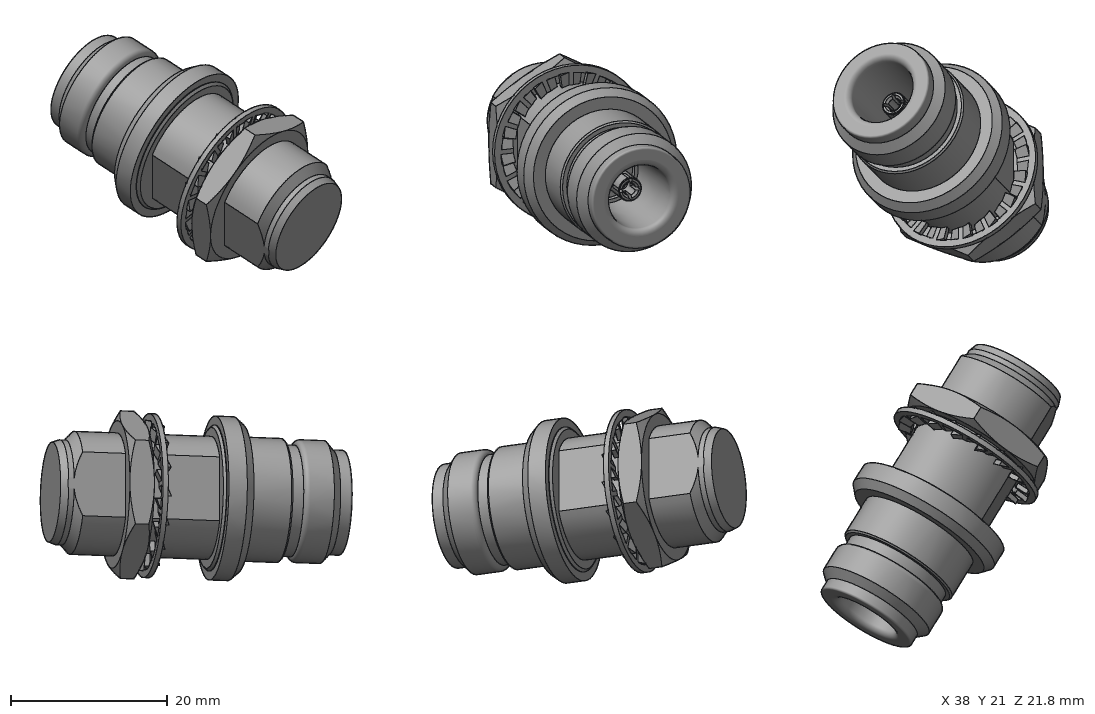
import cadquery as cq
import math

total_length = 38.05

nose_radius = 6.75
nose_edge_round = 0.25
nose_end = 1.55
head_radius = 7.88
head_start = 2.63
head_round = 0.72
groove_radius = head_radius - head_round
groove_start = 6.45
groove_end = 8.0
barrel_radius = 7.95
barrel_chamfer = 0.23

flange_start = 13.47
flange_bevel_radius = 9.6
flange_bevel_end = 14.55
flange_radius = 10.5
flange_end = 16.95
collar_radius = 9.35
collar_chamfer = 0.35
collar_end = 17.35

stem_radius = 7.88
stem_end = 35.25
tail_radius = 6.75
tail_start = 36.35
tail_bevel_start = 37.05
tail_end_radius = 6.4
stem_flat_distance = 6.7

nut_start = 26.45
nut_end = 29.65
nut_across_flats = 18.87
nut_bevel_length = 0.72

bore_radius = 4.25
bore_lip_round = 0.85
bore_depth = 11.4
bore_end_radius = 3.95
floor_radius = 3.5
floor_depth = 12.18

contact_radius = 1.55
contact_tip = 3.95
contact_chamfer = 0.1
contact_hole_radius = 0.85
contact_hole_depth = 3.05
contact_cone_depth = 0.5
contact_mouth_radius = 1.15
contact_slot_width = 0.4
contact_slot_reach = 1.5
contact_slot_depth = 2.3

washer_start = 24.85
washer_thickness = 0.7
washer_radius = 10.5
washer_ring_inner_radius = 9.5
tooth_count = 16
tooth_inner_radius = 7.9
tooth_outer_radius = 9.63
tooth_half_angle = 10.1
tooth_flat_half_width = 0.3
tooth_wing_lean = 0.44


def disc(radius, start, end):
    """Cylinder on the X axis between two positions."""
    return cq.Workplane("YZ", origin=(start, 0, 0)).circle(radius).extrude(end - start)


def make_shell():
    """Turned outside of the connector, with two flats on the stem."""
    nose_edge_mid = nose_edge_round * (1 - math.sqrt(0.5))
    round_mid = head_round * math.sqrt(0.5)
    shell = (
        cq.Workplane("XY")
        .moveTo(0, 0)
        .lineTo(0, nose_radius - nose_edge_round)
        .threePointArc((nose_edge_mid, nose_radius - nose_edge_mid), (nose_edge_round, nose_radius))
        .lineTo(nose_end, nose_radius)
        .lineTo(head_start, head_radius)
        .lineTo(groove_start - head_round, head_radius)
        .threePointArc(
            (groove_start - head_round + round_mid, groove_radius + round_mid),
            (groove_start, groove_radius),
        )
        .lineTo(groove_end, groove_radius)
        .lineTo(groove_end, barrel_radius - barrel_chamfer)
        .lineTo(groove_end + barrel_chamfer, barrel_radius)
        .lineTo(flange_start, barrel_radius)
        .lineTo(flange_start, flange_bevel_radius)
        .lineTo(flange_bevel_end, flange_radius)
        .lineTo(flange_end, flange_radius)
        .lineTo(flange_end, collar_radius)
        .lineTo(collar_end - collar_chamfer, collar_radius)
        .lineTo(collar_end, collar_radius - collar_chamfer)
        .lineTo(collar_end, stem_radius)
        .lineTo(stem_end, stem_radius)
        .lineTo(tail_start, tail_radius)
        .lineTo(tail_bevel_start, tail_radius)
        .lineTo(total_length, tail_end_radius)
        .lineTo(total_length, 0)
        .close()
        .revolve(360, (0, 0, 0), (1, 0, 0))
    )
    flat_length = total_length - collar_end
    waste = cq.Workplane("XY").box(
        flat_length, stem_radius, 2 * stem_radius, centered=(False, True, True)
    )
    for side in (1, -1):
        waste_y = side * (stem_flat_distance + stem_radius / 2)
        shell = shell.cut(waste.translate((collar_end, waste_y, 0)))
    return shell


def make_nut():
    """Hexagon with corners at +Z and -Z, both ends turned down to the across-flats circle."""
    inner = nut_across_flats / 2
    corner = inner / math.cos(math.pi / 6)
    corners = [
        (corner * math.sin(k * math.pi / 3), corner * math.cos(k * math.pi / 3)) for k in range(6)
    ]
    hexagon = (
        cq.Workplane("YZ", origin=(nut_start, 0, 0))
        .polyline(corners)
        .close()
        .extrude(nut_end - nut_start)
    )
    envelope = (
        cq.Workplane("XY")
        .moveTo(nut_start, 0)
        .lineTo(nut_start, inner)
        .lineTo(nut_start + nut_bevel_length, corner)
        .lineTo(nut_end - nut_bevel_length, corner)
        .lineTo(nut_end, inner)
        .lineTo(nut_end, 0)
        .close()
        .revolve(360, (0, 0, 0), (1, 0, 0))
    )
    return hexagon.intersect(envelope)


def make_bore():
    """Round-lipped socket bore, tapering to a shallow step at its floor."""
    lip_mid = bore_lip_round * (1 - math.sqrt(0.5))
    return (
        cq.Workplane("XY")
        .moveTo(0, 0)
        .lineTo(0, bore_radius + bore_lip_round)
        .threePointArc((lip_mid, bore_radius + lip_mid), (bore_lip_round, bore_radius))
        .lineTo(bore_depth, bore_end_radius)
        .lineTo(bore_depth, floor_radius)
        .lineTo(floor_depth, floor_radius)
        .lineTo(floor_depth, 0)
        .close()
        .revolve(360, (0, 0, 0), (1, 0, 0))
    )


def make_contact():
    """Centre contact with a funnel-mouthed, cone-bottomed hole and four slots."""
    mouth_depth = contact_mouth_radius - contact_hole_radius
    contact = (
        cq.Workplane("XY")
        .moveTo(contact_tip, contact_mouth_radius)
        .lineTo(contact_tip, contact_radius - contact_chamfer)
        .lineTo(contact_tip + contact_chamfer, contact_radius)
        .lineTo(floor_depth, contact_radius)
        .lineTo(floor_depth, 0)
        .lineTo(contact_tip + contact_hole_depth + contact_cone_depth, 0)
        .lineTo(contact_tip + contact_hole_depth, contact_hole_radius)
        .lineTo(contact_tip + mouth_depth, contact_hole_radius)
        .close()
        .revolve(360, (0, 0, 0), (1, 0, 0))
    )
    slot_span = 2 * contact_slot_reach
    for height, width in ((slot_span, contact_slot_width), (contact_slot_width, slot_span)):
        slot = cq.Workplane("XY").box(contact_slot_depth, width, height, centered=(False, True, True))
        contact = contact.cut(slot.translate((contact_tip, 0, 0)))
    return contact


def make_connector():
    """Shell, nut and centre contact as one solid."""
    return make_shell().union(make_nut()).cut(make_bore()).union(make_contact())


def make_tooth():
    """Tooth at +Z: flat middle in the ring's plane, one wing bent to -X and the other to +X."""
    reach = tooth_outer_radius * math.tan(math.radians(tooth_half_angle))
    rise = tooth_wing_lean * (reach - tooth_flat_half_width)
    back = washer_start + washer_thickness
    strip = (
        cq.Workplane("XY")
        .moveTo(washer_start + rise, -reach)
        .lineTo(washer_start, -tooth_flat_half_width)
        .lineTo(washer_start, tooth_flat_half_width)
        .lineTo(washer_start - rise, reach)
        .lineTo(back - rise, reach)
        .lineTo(back, tooth_flat_half_width)
        .lineTo(back, -tooth_flat_half_width)
        .lineTo(back + rise, -reach)
        .close()
        .extrude(tooth_outer_radius)
    )
    wedge = (
        cq.Workplane("YZ", origin=(washer_start - rise, 0, 0))
        .polyline([(0, 0), (reach, tooth_outer_radius), (-reach, tooth_outer_radius)])
        .close()
        .extrude(washer_thickness + 2 * rise)
    )
    tooth_band = disc(tooth_outer_radius, washer_start - rise, back + rise).cut(
        disc(tooth_inner_radius, washer_start - rise, back + rise)
    )
    return strip.intersect(wedge).intersect(tooth_band)


def make_lock_washer():
    """Flat ring with twisted teeth pointing inward, clear of the stem."""
    back = washer_start + washer_thickness
    washer = disc(washer_radius, washer_start, back).cut(
        disc(washer_ring_inner_radius, washer_start, back)
    )
    tooth = make_tooth()
    for k in range(tooth_count):
        washer = washer.union(tooth.rotate((0, 0, 0), (1, 0, 0), k * 360 / tooth_count))
    return washer


connector = make_connector()
lock_washer = make_lock_washer()

result = cq.Compound.makeCompound([connector.val(), lock_washer.val()])